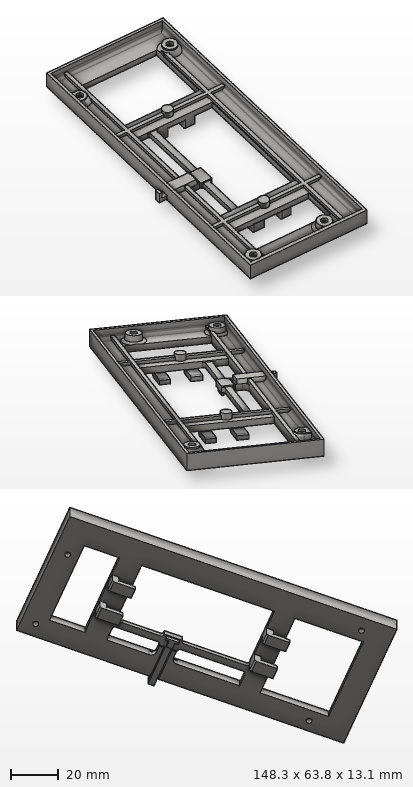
import cadquery as cq


frame_length = 148.3
frame_depth = 60.1
frame_height = 7.65
wall_left = 1.35
wall_right = 1.7
wall_front = 1.4
wall_back = 1.3
floor_top = 3.0
cove_radius = 2.0

window_front = 9.8
window_back = 49.1
window_spans = [(10.8, 41.8), (51.1, 111.3), (121.3, 137.3)]

rib_width = 1.8
rib_top = 4.5
back_rib_front = 49.55
back_rib_start = 13.5
cross_rib_centers = [46.2, 116.2]

stud_diameter = 5.0
stud_top = 6.0
stud_y = 29.6

boss_top_diameter = 7.0
boss_base_diameter = 10.9
boss_shoulder_diameter = 7.8
boss_low_flare = 0.8
boss_high_flare = 2.3
boss_top_low = 6.1
boss_top_high = 6.5
back_left_boss = ((13.6, 53.95), boss_top_diameter, boss_high_flare, boss_top_low)
back_right_boss = ((142.2, 42.45), boss_shoulder_diameter, boss_low_flare, boss_top_high)
front_right_boss = ((142.0, 5.95), boss_shoulder_diameter, boss_low_flare, boss_top_low)
round_bosses = [back_left_boss, back_right_boss, front_right_boss]

screw_bore_diameter = 3.2
screw_bore_floor = 4.0
screw_hole_diameter = 2.4

wall_boss_center = (17.6, 4.75)
wall_boss_width = 6.2
wall_boss_base_width = 10.6
wall_boss_top = 5.5
wall_boss_flare_height = 2.0

hook_stem_width = 3.0
hook_reach = 10.5
hook_drop = 5.4
hook_back_offset = 4.9
hook_toe_height = 2.4
hook_heel_chamfer = 0.8
hook_tip_slope_length = 1.2
hook_tip_slope_drop = 0.35
hook_y_spans = [(35.5, 40.3), (21.2, 26.5)]
hook_backs = [x + hook_back_offset for x in cross_rib_centers]

latch_x = 85.85
beam_front = 17.0
beam_back = 20.1
beam_top = 2.4
beam_root_radius = 1.2
block_width = 8.2
block_front = 15.85
block_back = 21.5
block_top = 3.0
arm_width = 2.7
arm_height = 2.05
catch_reach = 3.7
catch_thickness = 1.4
catch_top = 5.1
tab_drop = 1.85
tab_width = 6.0
tab_thickness = 0.95
tab_back = 20.95

cover_roof_width = 5.5
cover_base_width = 7.7
cover_roof_back = 14.4
cover_back = 15.3
cover_rise = 0.4
cover_top = rib_top + cover_rise
cover_root_radius = 2.4
channel_width = 3.8
channel_height = 2.7


def block(x_span, y_span, z_span):
    """Box given by its limits along X, Y and Z."""
    return cq.Workplane("XY").box(
        x_span[1] - x_span[0],
        y_span[1] - y_span[0],
        z_span[1] - z_span[0],
        centered=False,
    ).translate((x_span[0], y_span[0], z_span[0]))


def centered_span(center, width):
    """Limits of a width placed evenly about a center."""
    return (center - width / 2, center + width / 2)


def root_fillet(corner, x_side, y_side, radius, height):
    """Concave fillet filling a vertical inside corner, opening towards the given sides."""
    x, y = corner
    square = block(
        sorted((x, x + x_side * radius)),
        sorted((y, y + y_side * radius)),
        (0, height),
    )
    round_cut = (
        cq.Workplane("XY", origin=(x + x_side * radius, y + y_side * radius, 0))
        .circle(radius)
        .extrude(height)
    )
    return square.cut(round_cut)


def make_tray():
    """Shallow tray with a cove where the walls meet the floor."""
    tray = block((0, frame_length), (0, frame_depth), (0, frame_height))
    pocket = block(
        (wall_left, frame_length - wall_right),
        (wall_front, frame_depth - wall_back),
        (floor_top, frame_height),
    )
    return tray.cut(pocket.faces("<Z").edges().fillet(cove_radius))


def make_round_boss(center, shoulder_diameter, flare_height, top):
    """Round boss with a flared foot on the floor."""
    return (
        cq.Workplane("XZ")
        .moveTo(0, 0)
        .lineTo(boss_base_diameter / 2, 0)
        .lineTo(boss_base_diameter / 2, floor_top)
        .lineTo(shoulder_diameter / 2, floor_top + flare_height)
        .lineTo(boss_top_diameter / 2, top)
        .lineTo(0, top)
        .close()
        .revolve(360, (0, 0, 0), (0, 1, 0))
        .translate((center[0], center[1], 0))
    )


def make_wall_boss():
    """Round-nosed boss running into the front wall, with a flared foot."""
    x, y = wall_boss_center
    straight = y - wall_front
    half_width = wall_boss_width / 2
    half_base = wall_boss_base_width / 2

    upright = (
        cq.Workplane("XY", origin=(x, y, floor_top))
        .moveTo(-half_width, -straight)
        .lineTo(half_width, -straight)
        .lineTo(half_width, 0)
        .threePointArc((0, half_width), (-half_width, 0))
        .close()
        .extrude(wall_boss_top - floor_top)
    )
    foot_nose = (
        cq.Workplane("XY", origin=(x, y, floor_top))
        .circle(half_base)
        .workplane(offset=wall_boss_flare_height)
        .circle(half_width)
        .loft()
    )
    rail_space = block((0, frame_length), (y, window_front), (0, frame_height))
    foot_sides = (
        cq.Workplane("XZ", origin=(x, y, floor_top))
        .moveTo(-half_base, 0)
        .lineTo(half_base, 0)
        .lineTo(half_width, wall_boss_flare_height)
        .lineTo(-half_width, wall_boss_flare_height)
        .close()
        .extrude(straight)
    )
    foot = foot_nose.intersect(rail_space).union(foot_sides)
    return foot.union(upright)


def make_screw_hole(center):
    """Through hole with a wider bore from the top."""
    hole = cq.Workplane("XY").circle(screw_hole_diameter / 2).extrude(frame_height)
    bore = (
        cq.Workplane("XY", origin=(0, 0, screw_bore_floor))
        .circle(screw_bore_diameter / 2)
        .extrude(frame_height - screw_bore_floor)
    )
    return hole.union(bore).translate((center[0], center[1], 0))


def make_ribs():
    """Two long ribs along the rails and two cross ribs carrying the studs."""
    inner_x = (wall_left, frame_length - wall_right)
    rib_z = (0, rib_top)
    ribs = block(inner_x, (window_front - rib_width, window_front), rib_z)
    ribs = ribs.union(
        block(
            (back_rib_start, inner_x[1]),
            (back_rib_front, back_rib_front + rib_width),
            rib_z,
        )
    )
    for x in cross_rib_centers:
        cross_rib = block(
            centered_span(x, rib_width),
            (wall_front, frame_depth - wall_back),
            rib_z,
        )
        stud = (
            cq.Workplane("XY", origin=(x, stud_y, 0))
            .circle(stud_diameter / 2)
            .extrude(stud_top)
        )
        ribs = ribs.union(cross_rib).union(stud)
    return ribs


def make_hook(back_x, y_span):
    """L-shaped hook hanging from a cross bar, toe pointing to -X."""
    toe_top = hook_toe_height - hook_drop
    tip_x = back_x - hook_reach
    return (
        cq.Workplane("XZ", origin=(0, y_span[1], 0))
        .moveTo(back_x, floor_top)
        .lineTo(back_x, hook_heel_chamfer - hook_drop)
        .lineTo(back_x - hook_heel_chamfer, -hook_drop)
        .lineTo(tip_x, -hook_drop)
        .lineTo(tip_x, toe_top - hook_tip_slope_drop)
        .lineTo(tip_x + hook_tip_slope_length, toe_top)
        .lineTo(back_x - hook_stem_width, toe_top)
        .lineTo(back_x - hook_stem_width, floor_top)
        .close()
        .extrude(y_span[1] - y_span[0])
    )


def make_cover():
    """Tapered housing over the latch arm, rounded into the front rail."""
    housing = block(
        centered_span(latch_x, cover_base_width),
        (wall_front, cover_back),
        (0, floor_top),
    )
    roof = (
        cq.Workplane("XZ", origin=(latch_x, cover_roof_back, floor_top))
        .moveTo(-cover_base_width / 2, 0)
        .lineTo(cover_base_width / 2, 0)
        .lineTo(cover_roof_width / 2, cover_top - floor_top)
        .lineTo(-cover_roof_width / 2, cover_top - floor_top)
        .close()
        .extrude(cover_roof_back - wall_front)
    )
    housing = housing.union(roof)
    for side in (-1, 1):
        side_x = latch_x + side * cover_base_width / 2
        root = root_fillet((side_x, window_front), side, 1, cover_root_radius, floor_top)
        housing = housing.union(root)
    return housing


def make_latch():
    """Sprung latch: block on a beam, with an arm to the catch outside the front wall."""
    beam_x = window_spans[1]
    latch = block(beam_x, (beam_front, beam_back), (0, beam_top))
    block_x = centered_span(latch_x, block_width)
    for face_x, side in ((beam_x[0], 1), (block_x[0], -1), (block_x[1], 1), (beam_x[1], -1)):
        front_root = root_fillet((face_x, beam_front), side, -1, beam_root_radius, beam_top)
        back_root = root_fillet((face_x, beam_back), side, 1, beam_root_radius, beam_top)
        latch = latch.union(front_root).union(back_root)
    arm_x = centered_span(latch_x, arm_width)
    latch = latch.union(block(block_x, (block_front, block_back), (0, block_top)))
    latch = latch.union(block(arm_x, (-catch_reach, block_back), (0, arm_height)))
    latch = latch.union(
        block(arm_x, (-catch_reach, catch_thickness - catch_reach), (0, catch_top))
    )
    tab_front = tab_back - tab_thickness
    latch = latch.union(
        block(centered_span(latch_x, tab_width), (tab_front, tab_back), (-tab_drop, 0))
    )
    return latch.union(block(arm_x, (beam_front, tab_back), (-tab_drop, 0)))


body = make_tray()
for boss in round_bosses:
    body = body.union(make_round_boss(*boss))
body = body.union(make_wall_boss())

for x_span in window_spans:
    body = body.cut(block(x_span, (window_front, window_back), (0, frame_height)))

body = body.union(make_ribs())

screw_centers = [boss[0] for boss in round_bosses] + [wall_boss_center]
for center in screw_centers:
    body = body.cut(make_screw_hole(center))

for back_x in hook_backs:
    for y_span in hook_y_spans:
        body = body.union(make_hook(back_x, y_span))

body = body.union(make_cover())
body = body.cut(block(centered_span(latch_x, channel_width), (0, cover_back), (0, channel_height)))
result = body.union(make_latch())